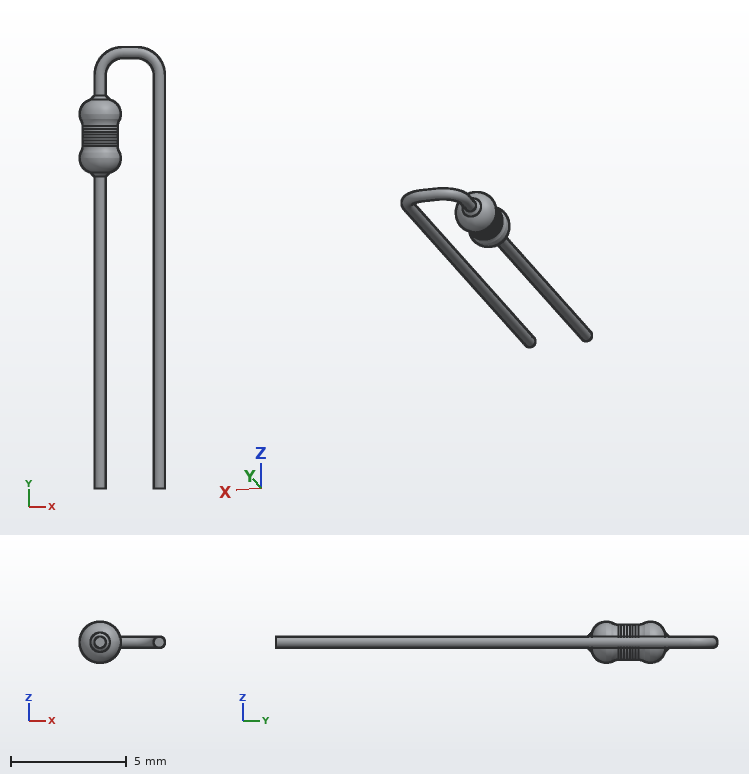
import cadquery as cq
import math

total_length = 19.05
wire_diameter = 0.5
lead_pitch = 2.55
bend_radius = 0.97
bend_top = 3.85

body_length = 3.5
bulge_diameter = 1.8
bulge_offset = 0.95
dome_radius = 0.65
neck_diameter = 0.84
shoulder_offset = 0.72
core_diameter = 1.52

band_count = 4
band_diameter = 1.55
band_width = 0.11
band_pitch = 0.25

wire_radius = wire_diameter / 2
bulge_radius = bulge_diameter / 2
neck_radius = neck_diameter / 2
core_radius = core_diameter / 2
core_half_length = ((band_count - 1) * band_pitch + band_width) / 2
lead_end = bend_top - total_length
bend_start = bend_top - wire_radius - bend_radius


def make_body_end():
    """Revolve the +Y end of the body: shoulder, dome and end cone."""
    arc_center_r = bulge_radius - dome_radius
    neck_y = bulge_offset + math.sqrt(dome_radius**2 - (neck_radius - arc_center_r)**2)
    shoulder_edge_r = arc_center_r + math.sqrt(dome_radius**2 - (bulge_offset - shoulder_offset)**2)

    rise = shoulder_edge_r - core_radius
    run = shoulder_offset - core_half_length
    shoulder_radius = (run**2 + rise**2) / (2 * rise)
    profile = (
        cq.Workplane("XY")
        .moveTo(0, core_half_length)
        .lineTo(core_radius, core_half_length)
        .radiusArc((shoulder_edge_r, shoulder_offset), shoulder_radius)
        .radiusArc((bulge_radius, bulge_offset), -dome_radius)
        .tangentArcPoint((neck_radius - bulge_radius, neck_y - bulge_offset))
        .lineTo(wire_radius, body_length / 2)
        .lineTo(0, body_length / 2)
        .close()
    )
    return profile.revolve(360, (0, 0, 0), (0, 1, 0))


def cylinder_y(diameter, start, end):
    """Cylinder on the Y axis between two Y positions."""
    return cq.Workplane("XZ", origin=(0, start, 0)).circle(diameter / 2).extrude(start - end)


def make_body():
    body_end = make_body_end()
    core = cylinder_y(core_diameter, -core_half_length, core_half_length)
    body = core.union(body_end).union(body_end.mirror("XZ"))
    for index in range(band_count):
        center = (index - (band_count - 1) / 2) * band_pitch
        band = cylinder_y(band_diameter, center - band_width / 2, center + band_width / 2)
        body = body.union(band)
    return body


def make_bent_lead():
    """Sweep the wire from the body, round two quarter bends and back to its free end."""
    path = (
        cq.Workplane("XY")
        .lineTo(0, bend_start)
        .tangentArcPoint((bend_radius, bend_radius))
        .lineTo(lead_pitch - bend_radius, bend_start + bend_radius)
        .tangentArcPoint((bend_radius, -bend_radius))
        .lineTo(lead_pitch, lead_end)
    )
    return cq.Workplane("XZ").circle(wire_radius).sweep(path)


straight_lead = cylinder_y(wire_diameter, lead_end, 0)
result = make_body().union(straight_lead).union(make_bent_lead())